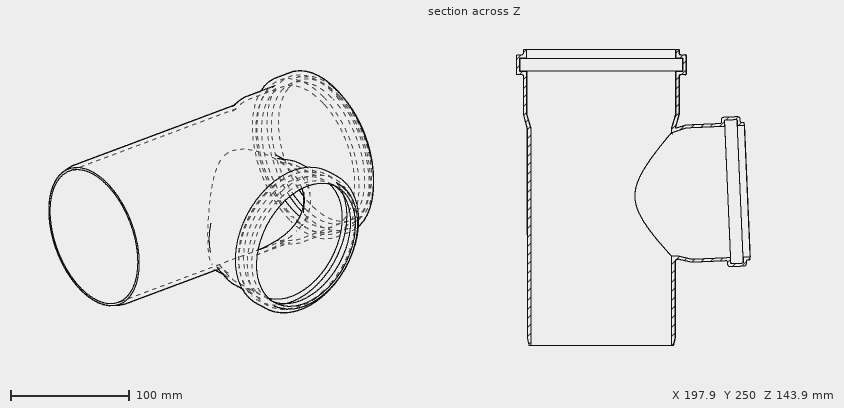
import cadquery as cq

RUN_LENGTH = 250.0
RUN_SOCKET_END = RUN_LENGTH / 2
RUN_SPIGOT_END = RUN_SOCKET_END - RUN_LENGTH
RUN_OD = 125.2
RUN_BORE = 118.4
SPIGOT_CHAMFER_LENGTH = 6.4
SPIGOT_CHAMFER_DEPTH = 1.5

BRANCH_TILT = 2.5
BRANCH_OD = 110.0
BRANCH_BORE = 103.8
BRANCH_REACH = 123.59
JOINT_FILLET = 2.0

MOUTH_FILLET = 0.8

RING_MARGIN = 0.1

RUN_SOCKET = {
    "pipe_od": RUN_OD,
    "pipe_bore": RUN_BORE,
    "socket_od": 131.9,
    "socket_bore": 125.7,
    "bead_od": 143.9,
    "groove_bore": 137.7,
    "lip_od": 132.1,
    "lip_bore": 125.9,
    "taper_start": RUN_SOCKET_END - 67.0,
    "taper_end": RUN_SOCKET_END - 54.8,
    "bead_start": RUN_SOCKET_END - 21.5,
    "bead_end": RUN_SOCKET_END - 4.5,
    "mouth": RUN_SOCKET_END,
    "bead_fillet": 1.0,
    "foot_fillet": 1.1,
}

BRANCH_SOCKET = {
    "pipe_od": BRANCH_OD,
    "pipe_bore": BRANCH_BORE,
    "socket_od": 116.5,
    "socket_bore": 110.7,
    "bead_od": 126.9,
    "groove_bore": 121.1,
    "lip_od": 116.8,
    "lip_bore": 111.0,
    "taper_start": 62.3,
    "taper_end": 74.2,
    "bead_start": 104.0,
    "bead_end": 120.3,
    "mouth": BRANCH_REACH,
    "bead_fillet": 2.5,
    "foot_fillet": 0.8,
}


def disc(diameter, start, end):
    """Solid cylinder along Z between two stations."""
    return cq.Workplane("XY").workplane(offset=start).circle(diameter / 2).extrude(end - start)


def cone(start_diameter, end_diameter, start, end):
    """Solid truncated cone along Z between two stations."""
    return (
        cq.Workplane("XY")
        .workplane(offset=start)
        .circle(start_diameter / 2)
        .workplane(offset=end - start)
        .circle(end_diameter / 2)
        .loft(ruled=True)
    )


def ring_at(diameter, station):
    """Selector for the circular edge of a given diameter at a station along Z."""
    half_box = diameter / 2 + RING_MARGIN
    return cq.selectors.BoxSelector(
        (-half_box, -half_box, station - RING_MARGIN),
        (half_box, half_box, station + RING_MARGIN),
        boundingbox=True,
    )


def socket_outside(size):
    """Taper, socket barrel, rounded bead and lip, solid, along Z."""
    bead = disc(size["bead_od"], size["bead_start"], size["bead_end"])
    bead = bead.faces("<Z or >Z").edges().fillet(size["bead_fillet"])
    barrel = disc(size["socket_od"], size["taper_end"], size["bead_end"])
    lip = disc(size["lip_od"], size["bead_end"], size["mouth"])
    lip = lip.faces(">Z").edges().fillet(MOUTH_FILLET)
    socket = barrel.union(bead).union(lip)
    socket = socket.edges(ring_at(size["socket_od"], size["bead_start"])).fillet(size["foot_fillet"])
    socket = socket.edges(ring_at(size["lip_od"], size["bead_end"])).fillet(size["foot_fillet"])
    return cone(size["pipe_od"], size["socket_od"], size["taper_start"], size["taper_end"]).union(socket)


def socket_inside(size):
    """Void of the socket: taper, barrel bore and the seal groove under the bead."""
    groove_wall = (size["bead_od"] - size["groove_bore"]) / 2
    groove_start = size["bead_start"] + groove_wall
    groove_end = size["bead_end"] - groove_wall
    return (
        cone(size["pipe_bore"], size["socket_bore"], size["taper_start"], size["taper_end"])
        .union(disc(size["socket_bore"], size["taper_end"], groove_start))
        .union(disc(size["groove_bore"], groove_start, groove_end))
        .union(disc(size["lip_bore"], groove_end, size["mouth"]))
    )


def along_run(body):
    """Turn a body built along Z so that it lies along +Y."""
    return body.rotate((0, 0, 0), (1, 0, 0), -90)


def along_branch(body):
    """Turn a body built along Z so that it lies along the tilted branch axis."""
    return body.rotate((0, 0, 0), (0, 1, 0), 90).rotate((0, 0, 0), (0, 0, 1), BRANCH_TILT)


def joined_pipes():
    """Solid run pipe and branch neck with a fillet along their saddle-shaped seam."""
    chamfer_end = RUN_SPIGOT_END + SPIGOT_CHAMFER_LENGTH
    tip_od = RUN_OD - 2 * SPIGOT_CHAMFER_DEPTH
    spigot_tip = cone(tip_od, RUN_OD, RUN_SPIGOT_END, chamfer_end)
    run = along_run(spigot_tip.union(disc(RUN_OD, chamfer_end, RUN_SOCKET["bead_start"])))
    neck = along_branch(disc(BRANCH_OD, 0, BRANCH_SOCKET["taper_end"]))
    return run.union(neck).edges("not(%CIRCLE or %LINE)").fillet(JOINT_FILLET)


outside = (
    joined_pipes()
    .union(along_run(socket_outside(RUN_SOCKET)))
    .union(along_branch(socket_outside(BRANCH_SOCKET)))
)
run_void = along_run(
    disc(RUN_BORE, RUN_SPIGOT_END, RUN_SOCKET["mouth"]).union(socket_inside(RUN_SOCKET))
)
branch_void = along_branch(
    disc(BRANCH_BORE, 0, BRANCH_SOCKET["mouth"]).union(socket_inside(BRANCH_SOCKET))
)
result = outside.cut(run_void).cut(branch_void)